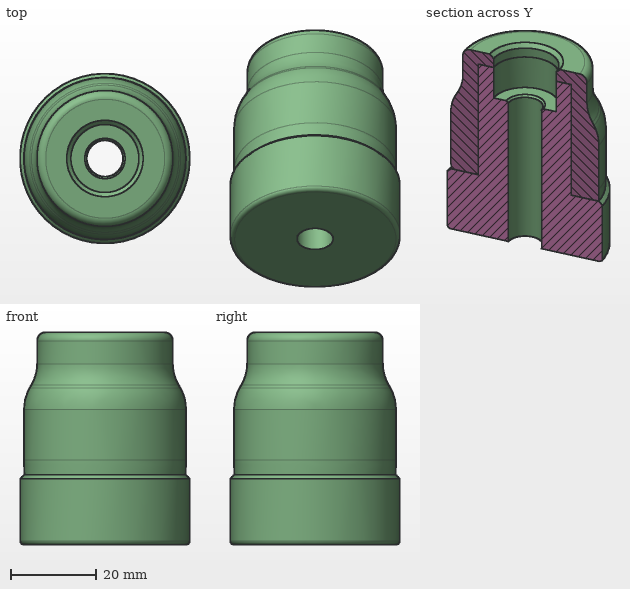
import cadquery as cq
import math


def arc_offset(radius, angle):
    """Radial and axial distance from the start of an arc that begins parallel to the axis."""
    return radius * (1 - math.cos(angle)), radius * math.sin(angle)


FLANGE_RADIUS = 20.0
FLANGE_HEIGHT = 16.5
FLANGE_TOP_CHAMFER = 1.0
FLANGE_BOTTOM_FILLET = 1.0
SPIGOT_RADIUS = 12.0
SPIGOT_TOP = 46.6

COUNTERBORE_RADIUS = 8.0
COUNTERBORE_FLOOR = 38.3
COUNTERBORE_CHAMFER = 1.0
HOLE_RADIUS = 4.25
HOLE_CHAMFER = 0.5

TOTAL_HEIGHT = 50.0
NECK_RADIUS = 16.0
NECK_TOP_FILLET = 2.0
BODY_RADIUS = 19.1
BODY_TOP = 31.9
BODY_BOTTOM = 20.0
FOOT_RADIUS = FLANGE_RADIUS - FLANGE_TOP_CHAMFER

SHOULDER_ARC_RADIUS = 10.0
SHOULDER_ANGLE = math.radians(30)
SHOULDER_ARC_DEPTH, SHOULDER_ARC_HEIGHT = arc_offset(SHOULDER_ARC_RADIUS, SHOULDER_ANGLE)
SHOULDER_CONE_DEPTH = BODY_RADIUS - NECK_RADIUS - 2 * SHOULDER_ARC_DEPTH
SHOULDER_CONE_HEIGHT = SHOULDER_CONE_DEPTH / math.tan(SHOULDER_ANGLE)
NECK_BOTTOM = BODY_TOP + 2 * SHOULDER_ARC_HEIGHT + SHOULDER_CONE_HEIGHT


def revolve_about_z(profile):
    """Turn a closed (radius, height) outline around the Z axis."""
    return profile.close().revolve(360, (0, 0, 0), (0, 1, 0))


def make_base():
    fillet_middle = arc_offset(FLANGE_BOTTOM_FILLET, math.radians(45))[0]
    profile = (
        cq.Workplane("XZ")
        .moveTo(HOLE_RADIUS, 0)
        .lineTo(FLANGE_RADIUS - FLANGE_BOTTOM_FILLET, 0)
        .threePointArc(
            (FLANGE_RADIUS - fillet_middle, fillet_middle),
            (FLANGE_RADIUS, FLANGE_BOTTOM_FILLET),
        )
        .lineTo(FLANGE_RADIUS, FLANGE_HEIGHT - FLANGE_TOP_CHAMFER)
        .lineTo(FLANGE_RADIUS - FLANGE_TOP_CHAMFER, FLANGE_HEIGHT)
        .lineTo(SPIGOT_RADIUS, FLANGE_HEIGHT)
        .lineTo(SPIGOT_RADIUS, SPIGOT_TOP)
        .lineTo(COUNTERBORE_RADIUS, SPIGOT_TOP)
        .lineTo(COUNTERBORE_RADIUS, COUNTERBORE_FLOOR)
        .lineTo(HOLE_RADIUS + HOLE_CHAMFER, COUNTERBORE_FLOOR)
        .lineTo(HOLE_RADIUS, COUNTERBORE_FLOOR - HOLE_CHAMFER)
    )
    return revolve_about_z(profile)


def make_cover():
    foot_height = BODY_BOTTOM - FLANGE_HEIGHT
    foot_depth = BODY_RADIUS - FOOT_RADIUS
    foot_arc_radius = (foot_height**2 + foot_depth**2) / (2 * foot_depth)
    foot_middle = arc_offset(foot_arc_radius, math.asin(foot_height / foot_arc_radius) / 2)
    shoulder_middle = arc_offset(SHOULDER_ARC_RADIUS, SHOULDER_ANGLE / 2)
    fillet_middle = arc_offset(NECK_TOP_FILLET, math.radians(45))[0]
    profile = (
        cq.Workplane("XZ")
        .moveTo(SPIGOT_RADIUS, FLANGE_HEIGHT)
        .lineTo(FOOT_RADIUS, FLANGE_HEIGHT)
        .threePointArc(
            (BODY_RADIUS - foot_middle[0], BODY_BOTTOM - foot_middle[1]),
            (BODY_RADIUS, BODY_BOTTOM),
        )
        .lineTo(BODY_RADIUS, BODY_TOP)
        .threePointArc(
            (BODY_RADIUS - shoulder_middle[0], BODY_TOP + shoulder_middle[1]),
            (BODY_RADIUS - SHOULDER_ARC_DEPTH, BODY_TOP + SHOULDER_ARC_HEIGHT),
        )
        .lineTo(NECK_RADIUS + SHOULDER_ARC_DEPTH, NECK_BOTTOM - SHOULDER_ARC_HEIGHT)
        .threePointArc(
            (NECK_RADIUS + shoulder_middle[0], NECK_BOTTOM - shoulder_middle[1]),
            (NECK_RADIUS, NECK_BOTTOM),
        )
        .lineTo(NECK_RADIUS, TOTAL_HEIGHT - NECK_TOP_FILLET)
        .threePointArc(
            (NECK_RADIUS - fillet_middle, TOTAL_HEIGHT - fillet_middle),
            (NECK_RADIUS - NECK_TOP_FILLET, TOTAL_HEIGHT),
        )
        .lineTo(COUNTERBORE_RADIUS + COUNTERBORE_CHAMFER, TOTAL_HEIGHT)
        .lineTo(COUNTERBORE_RADIUS, TOTAL_HEIGHT - COUNTERBORE_CHAMFER)
        .lineTo(COUNTERBORE_RADIUS, SPIGOT_TOP)
        .lineTo(SPIGOT_RADIUS, SPIGOT_TOP)
    )
    return revolve_about_z(profile)


base = make_base()
cover = make_cover()

result = cq.Compound.makeCompound([base.val(), cover.val()])